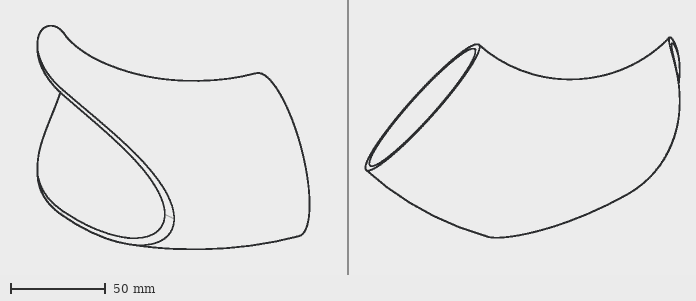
import cadquery as cq

overall_reach = 159.5
pipe_diameter = 89.0
wall = 3.2
heel_end_x = 69.7
end_flat = 0.3

pipe_radius = pipe_diameter / 2
bore_radius = pipe_radius - wall
bend_radius = overall_reach - pipe_radius
inner_reach = bend_radius - pipe_radius
trim_x = overall_reach + wall


def quarter_bend(radius):
    """Solid 90 degree bend about the Z axis, from the +X axis round to the -Y axis."""
    section = cq.Workplane("XZ").center(bend_radius, 0).circle(radius)
    return section.revolve(90, (-bend_radius, 0, 0), (-bend_radius, -1, 0))


def saddle_y(x):
    """Parabola where the bend meets an equal pipe lying along X, whatever their radius."""
    return x**2 / (4 * bend_radius) - bend_radius


def trimming_prism():
    """Region kept after the saddle cut: a parabola, then a heel arc tangent to it."""
    saddle_start = (trim_x, saddle_y(trim_x))
    heel_end = (heel_end_x, saddle_y(heel_end_x))
    heel_start = (0, -inner_reach - end_flat)

    pole_x = (trim_x + heel_end_x) / 2
    pole = (pole_x, trim_x * heel_end_x / (4 * bend_radius) - bend_radius)

    return (
        cq.Workplane("XY")
        .bezier([saddle_start, pole, heel_end])
        .tangentArcPoint(heel_start, relative=False)
        .lineTo(0, 0)
        .lineTo(trim_x, 0)
        .close()
        .extrude(pipe_diameter, both=True)
    )


elbow = quarter_bend(pipe_radius).cut(quarter_bend(bore_radius))
result = elbow.intersect(trimming_prism())